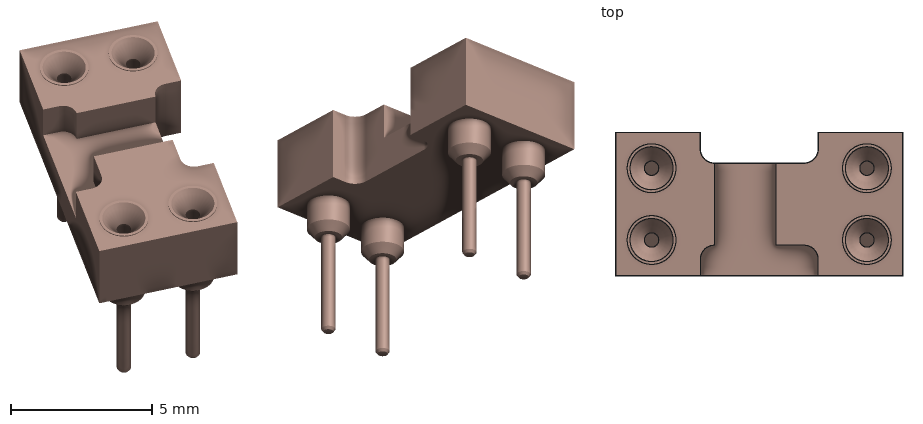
import cadquery as cq

body_length = 10.16
body_width = 5.08
body_height = 2.69
floor_height = 1.36

notch_length = 4.17
notch_depth = 1.09
notch_radius = 0.5
channel_left = -notch_length / 2 + notch_radius
channel_right = 0.6

contact_spacing_x = 7.62
contact_spacing_y = 2.54
overall_height = 7.79
rim_diameter = 1.73
rim_height = 0.04
funnel_diameter = 1.52
funnel_depth = 0.58
bore_diameter = 0.51
bore_bottom = 0.0
collar_diameter = 1.52
collar_height = 0.97
collar_taper_height = 0.31
collar_end_diameter = 0.98
pin_diameter = 0.51
tip_diameter = 0.37
tip_height = 0.1


def make_notch(side, bottom):
    """Cutter for a side notch with rounded inner corners; side is +1 (back) or -1 (front)."""
    edge_y = side * body_width / 2
    return (
        cq.Workplane("XY", origin=(0, edge_y, bottom))
        .rect(notch_length, 2 * notch_depth)
        .extrude(body_height - bottom)
        .edges("|Z")
        .fillet(notch_radius)
    )


def make_body():
    body = cq.Workplane("XY").box(
        body_length, body_width, body_height, centered=(True, True, False)
    )
    body = body.cut(make_notch(1, 0)).cut(make_notch(-1, floor_height))
    channel = cq.Workplane("XY", origin=(channel_left, 0, floor_height)).box(
        channel_right - channel_left,
        body_width,
        body_height - floor_height,
        centered=(False, True, False),
    )
    return body.cut(channel)


def make_contact():
    """Solid of revolution from the pin tip up to the rim, before the socket is cut."""
    rim_top = body_height + rim_height
    pin_bottom = rim_top - overall_height
    collar_bottom = -collar_height - collar_taper_height
    profile = [
        (0, pin_bottom),
        (tip_diameter / 2, pin_bottom),
        (pin_diameter / 2, pin_bottom + tip_height),
        (pin_diameter / 2, collar_bottom),
        (collar_end_diameter / 2, collar_bottom),
        (collar_diameter / 2, -collar_height),
        (collar_diameter / 2, body_height),
        (rim_diameter / 2, body_height),
        (rim_diameter / 2, rim_top),
        (0, rim_top),
    ]
    return cq.Workplane("XZ").polyline(profile).close().revolve(360, (0, 0), (0, 1))


def make_socket():
    """Cutter for a conical lead-in that narrows to a blind bore."""
    rim_top = body_height + rim_height
    funnel_bottom = rim_top - funnel_depth
    profile = [
        (0, bore_bottom),
        (bore_diameter / 2, bore_bottom),
        (bore_diameter / 2, funnel_bottom),
        (funnel_diameter / 2, rim_top),
        (0, rim_top),
    ]
    return cq.Workplane("XZ").polyline(profile).close().revolve(360, (0, 0), (0, 1))


result = make_body()
contact = make_contact()
socket = make_socket()
for x in (-contact_spacing_x / 2, contact_spacing_x / 2):
    for y in (-contact_spacing_y / 2, contact_spacing_y / 2):
        result = result.union(contact.translate((x, y, 0)))
        result = result.cut(socket.translate((x, y, 0)))